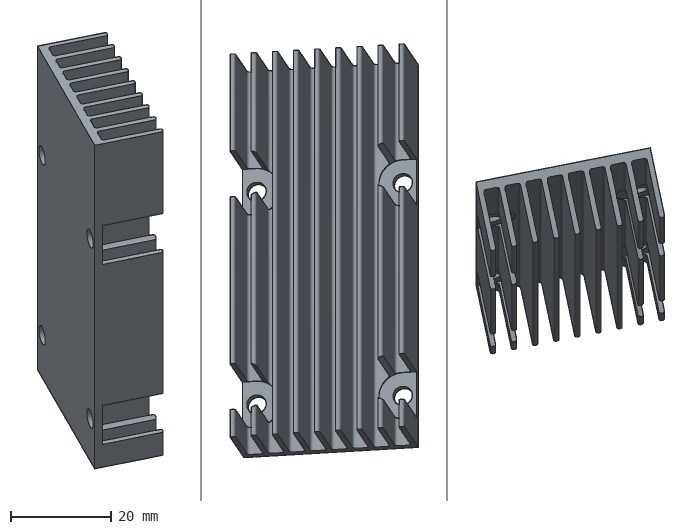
import cadquery as cq

width = 35.55
depth = 14.6
length = 80.1

base_thickness = 1.9
fin_count = 9
fin_thickness = 1.1
tip_radius = 0.5
root_radius = 0.6

hole_diameter = 3.9
hole_edge_distance = 2.9
hole_spacing = 44.5
lower_hole_z = 10.5

clearance_radius = 4.8
clearance_sink = 0.25

fin_pitch = (width - fin_thickness) / (fin_count - 1)
channel_width = fin_pitch - fin_thickness
channel_depth = depth - base_thickness
clearance_floor = base_thickness - clearance_sink
clearance_depth = depth - clearance_floor
hole_x = width / 2 - hole_edge_distance


def make_channel(index):
    """Open channel between two neighbouring fins, rounded along its floor."""
    channel_center = -width / 2 + fin_thickness / 2 + (index + 0.5) * fin_pitch
    return (
        cq.Workplane("XY")
        .center(channel_center, base_thickness + channel_depth / 2)
        .rect(channel_width, channel_depth)
        .extrude(length)
        .edges("|Z and <Y")
        .fillet(root_radius)
    )


def make_finned_profile():
    """Extrusion standing along Z, with the flat face of its base at Y = 0."""
    profile = cq.Workplane("XY").center(0, depth / 2).rect(width, depth).extrude(length)
    for index in range(fin_count - 1):
        profile = profile.cut(make_channel(index))
    return profile.edges("|Z and >Y").fillet(tip_radius)


def make_mounting_cut(side, z):
    """Through hole with a U-shaped clearance that is open to one side (-1 for -X, 1 for +X)."""
    x = side * hole_x
    hole = cq.Workplane("XZ").center(x, z).circle(hole_diameter / 2).extrude(-depth)
    floor = cq.Workplane("XZ", origin=(0, clearance_floor, 0)).center(x, z)
    round_end = floor.circle(clearance_radius).extrude(-clearance_depth)
    open_end = (
        floor.center(side * hole_edge_distance / 2, 0)
        .rect(hole_edge_distance, 2 * clearance_radius)
        .extrude(-clearance_depth)
    )
    return hole.union(round_end).union(open_end)


result = make_finned_profile()
for side in (-1, 1):
    for hole_z in (lower_hole_z, lower_hole_z + hole_spacing):
        result = result.cut(make_mounting_cut(side, hole_z))